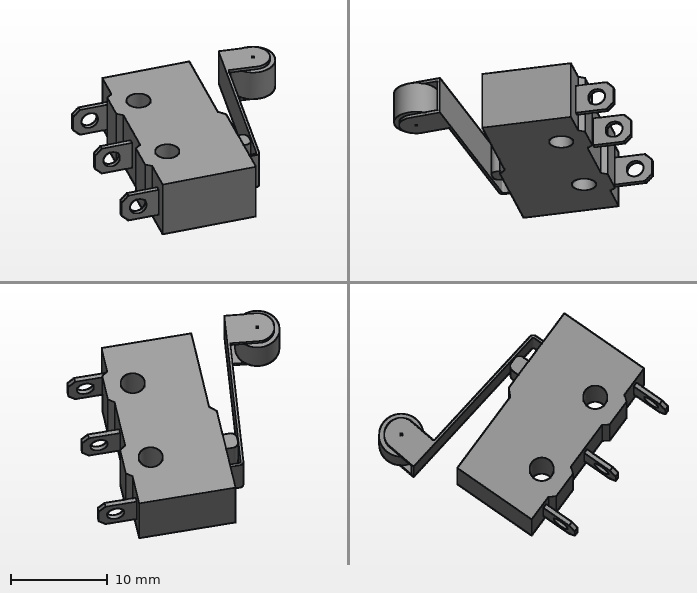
import cadquery as cq
import math


HOUSING_LENGTH = 19.97
HOUSING_DEPTH = 10.17
HOUSING_HEIGHT = 6.34
STEP_DROP = 0.68
STEP_START_X = 9.45
MOUNT_HOLE_DIAMETER = 2.5
MOUNT_HOLE_XS = (5.0, 14.5)
MOUNT_HOLE_Y = 2.3
FOOT_DEPTH = 0.62
FOOT_ROOT_HALF_WIDTH = 1.98
FOOT_TIP_HALF_WIDTH = 1.5

TERMINAL_XS = (2.33, 9.58, 18.38)
TERMINAL_THICKNESS = 0.5
TERMINAL_LENGTH = 4.01
TERMINAL_HEIGHT = 3.17
TERMINAL_CHAMFER = 0.73
TERMINAL_HOLE_DIAMETER = 1.8
TERMINAL_HOLE_TO_TIP = 1.8

ROLLER_DIAMETER = 4.63
ROLLER_HEIGHT = 3.4
ROLLER_X = -0.18
AXLE_HOLE_DIAMETER = 0.25
OVERALL_DEPTH = 22.8
ROLLER_Y = OVERALL_DEPTH - TERMINAL_LENGTH - ROLLER_DIAMETER / 2

LEVER_TILT = 6.0
LEVER_THICKNESS = 0.3
BEND_INNER_RADIUS = 0.18
CHEEK_THICKNESS = 0.35
CHEEK_HALF_WIDTH = 1.75
CHEEK_RADIUS = 1.78
ROLLER_TO_UNDERSIDE = 3.25
LEG_OUTER_X = 16.53
LEVER_HEIGHT = ROLLER_HEIGHT + 2 * CHEEK_THICKNESS

PLUNGER_X = 13.06
PLUNGER_WIDTH = 1.85
PLUNGER_LENGTH = 1.57
PLUNGER_HEIGHT = ROLLER_HEIGHT
PLUNGER_FILLET = 0.64


def extrude_centred(sketch, height):
    """Extrude an XY outline symmetrically about Z = 0."""
    return sketch.extrude(height).translate((0, 0, -height / 2))


def make_housing():
    outline = [(0, 0)]
    for x in MOUNT_HOLE_XS:
        outline += [
            (x - FOOT_ROOT_HALF_WIDTH, 0),
            (x - FOOT_TIP_HALF_WIDTH, -FOOT_DEPTH),
            (x + FOOT_TIP_HALF_WIDTH, -FOOT_DEPTH),
            (x + FOOT_ROOT_HALF_WIDTH, 0),
        ]
    outline += [
        (HOUSING_LENGTH, 0),
        (HOUSING_LENGTH, HOUSING_DEPTH),
        (STEP_START_X + STEP_DROP, HOUSING_DEPTH),
        (STEP_START_X, HOUSING_DEPTH - STEP_DROP),
        (0, HOUSING_DEPTH - STEP_DROP),
    ]
    body = extrude_centred(cq.Workplane("XY").polyline(outline).close(), HOUSING_HEIGHT)
    hole_centres = [(x, MOUNT_HOLE_Y) for x in MOUNT_HOLE_XS]
    hole_sketch = cq.Workplane("XY").pushPoints(hole_centres).circle(MOUNT_HOLE_DIAMETER / 2)
    return body.cut(extrude_centred(hole_sketch, HOUSING_HEIGHT))


def make_terminal(x):
    """Flat solder tab with a chamfered tip and a hole through its thickness."""
    tab = (
        cq.Workplane("XY")
        .box(TERMINAL_THICKNESS, TERMINAL_LENGTH, TERMINAL_HEIGHT)
        .translate((x, -TERMINAL_LENGTH / 2, 0))
        .faces("<Y").edges("|X").chamfer(TERMINAL_CHAMFER)
    )
    hole_y = TERMINAL_HOLE_TO_TIP - TERMINAL_LENGTH
    hole = (
        cq.Workplane("YZ", origin=(x - TERMINAL_THICKNESS / 2, hole_y, 0))
        .circle(TERMINAL_HOLE_DIAMETER / 2)
        .extrude(TERMINAL_THICKNESS)
    )
    return tab.cut(hole)


def make_axle_hole():
    sketch = cq.Workplane("XY", origin=(ROLLER_X, ROLLER_Y, 0)).circle(AXLE_HOLE_DIAMETER / 2)
    return extrude_centred(sketch, LEVER_HEIGHT)


def make_roller():
    sketch = cq.Workplane("XY", origin=(ROLLER_X, ROLLER_Y, 0)).circle(ROLLER_DIAMETER / 2)
    return extrude_centred(sketch, ROLLER_HEIGHT).cut(make_axle_hole())


def make_lever_strip():
    """Tilted strip that ends square under the roller and bends down onto the housing."""
    tilt = math.radians(LEVER_TILT)

    def end_point(offset):
        """Point on the strip's free end, at a distance from the axle square to the strip."""
        x = ROLLER_X - CHEEK_HALF_WIDTH * math.cos(tilt) - offset * math.sin(tilt)
        y = ROLLER_Y + CHEEK_HALF_WIDTH * math.sin(tilt) - offset * math.cos(tilt)
        return x, y

    def point_along(start, x):
        """Point at the given X on the tilted line through start."""
        return x, start[1] - (x - start[0]) * math.tan(tilt)

    lower_end = end_point(ROLLER_TO_UNDERSIDE)
    upper_end = end_point(ROLLER_TO_UNDERSIDE - LEVER_THICKNESS)
    leg_inner_x = LEG_OUTER_X - LEVER_THICKNESS
    outline = [
        lower_end,
        point_along(lower_end, leg_inner_x),
        (leg_inner_x, HOUSING_DEPTH),
        (LEG_OUTER_X, HOUSING_DEPTH),
        point_along(upper_end, LEG_OUTER_X),
        upper_end,
    ]
    strip = extrude_centred(cq.Workplane("XY").polyline(outline).close(), LEVER_HEIGHT)
    outer_corner = cq.selectors.NearestToPointSelector((*outline[4], 0))
    inner_corner = cq.selectors.NearestToPointSelector((*outline[1], 0))
    strip = strip.edges("|Z").edges(outer_corner).fillet(BEND_INNER_RADIUS + LEVER_THICKNESS)
    return strip.edges("|Z").edges(inner_corner).fillet(BEND_INNER_RADIUS)


def make_lever():
    shoulder = math.sqrt(CHEEK_RADIUS**2 - CHEEK_HALF_WIDTH**2)
    cheeks = extrude_centred(
        cq.Workplane("XY")
        .moveTo(-CHEEK_HALF_WIDTH, -ROLLER_TO_UNDERSIDE)
        .lineTo(CHEEK_HALF_WIDTH, -ROLLER_TO_UNDERSIDE)
        .lineTo(CHEEK_HALF_WIDTH, shoulder)
        .threePointArc((0, CHEEK_RADIUS), (-CHEEK_HALF_WIDTH, shoulder))
        .close(),
        LEVER_HEIGHT,
    )
    roller_gap = cq.Workplane("XY").box(4 * CHEEK_RADIUS, 4 * ROLLER_TO_UNDERSIDE, ROLLER_HEIGHT)
    cheeks = (
        cheeks.cut(roller_gap)
        .rotate((0, 0, 0), (0, 0, 1), -LEVER_TILT)
        .translate((ROLLER_X, ROLLER_Y, 0))
    )
    return make_lever_strip().union(cheeks).cut(make_axle_hole())


def make_plunger():
    return (
        cq.Workplane("XY")
        .box(PLUNGER_WIDTH, PLUNGER_LENGTH, PLUNGER_HEIGHT)
        .translate((PLUNGER_X, HOUSING_DEPTH + PLUNGER_LENGTH / 2, 0))
        .faces(">Y").edges("|Z").fillet(PLUNGER_FILLET)
    )


housing = make_housing()
plunger = make_plunger()
lever = make_lever()
roller = make_roller()
terminals = [make_terminal(x) for x in TERMINAL_XS]

result = cq.Compound.makeCompound(
    [housing.val(), plunger.val(), lever.val(), roller.val()] + [tab.val() for tab in terminals]
)